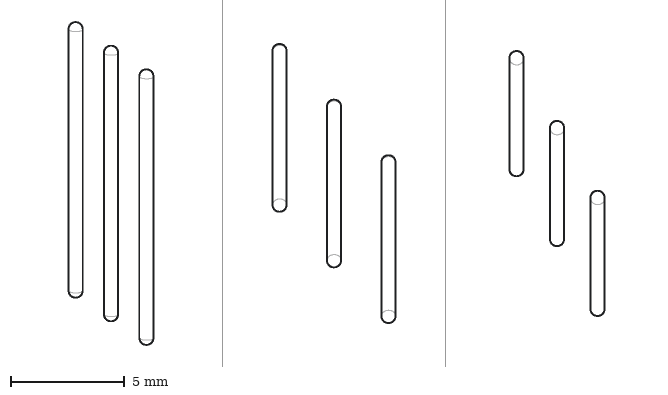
import cadquery as cq

pin_length = 12.7
pin_diameter = 0.64
pin_pitch = 3.81
pin_count = 3

pin_radius = pin_diameter / 2
shoulder_height = pin_length / 2 - pin_radius


def make_pin(x_position):
    """Upright round pin with hemispherical ends, centred on the XY plane."""
    half_profile = (
        cq.Workplane("XZ")
        .moveTo(0, -pin_length / 2)
        .radiusArc((pin_radius, -shoulder_height), -pin_radius)
        .lineTo(pin_radius, shoulder_height)
        .radiusArc((0, pin_length / 2), -pin_radius)
        .close()
    )
    pin = half_profile.revolve(360, (0, 0, 0), (0, 1, 0))
    return pin.translate((x_position, 0, 0))


first_pin_x = -pin_pitch * (pin_count - 1) / 2
pins = [make_pin(first_pin_x + index * pin_pitch) for index in range(pin_count)]

result = cq.Compound.makeCompound([pin.val() for pin in pins])